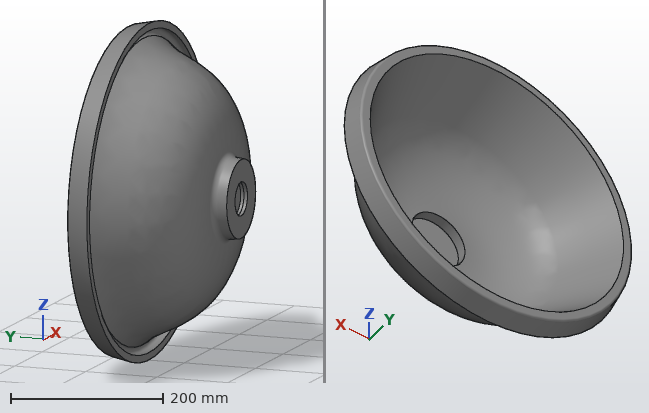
import cadquery as cq
import math

depth = 160.0
wall = 10.0

rim_radius = 225.5
rim_back_radius = 220.0
rim_front_y = 129.8
rim_edge_fillet = 3.5
rim_arc_inset = rim_edge_fillet * (1 - math.sqrt(0.5))
groove_outer_radius = rim_radius - wall
groove_spring_y = 136.0
groove_crown = (210.0, 141.5)
groove_inner = (205.0, 137.5)

bowl_outer = [(196.0, 126.0), (180.2, 94.5), (163.0, 66.2), (136.0, 41.0), (98.2, 25.0)]
bowl_foot = (62.5, 20.0)
mouth_radius = 205.0
bowl_inner = [(189.2, 131.5), (171.5, 100.0), (155.0, 72.5), (131.0, 50.0), (95.5, 34.2)]

boss_radius = 54.0
boss_end_radius = 52.5
boss_fillet_end_y = 11.5
boss_fillet_middle = (56.5, 17.0)
well_radius = boss_end_radius - wall
well_top_y = bowl_foot[1] + wall
outlet_radius = 22.5
floor_thickness = 5.0

insert_thickness = 10.0
insert_recess = 4.5


def revolve_about_y(profile):
    return profile.close().revolve(360, (0, 0, 0), (0, 1, 0))


def disc(radius, start_y, thickness):
    """Cylinder on the Y axis, running toward +Y from start_y."""
    plane = cq.Plane(origin=(0, start_y, 0), xDir=(1, 0, 0), normal=(0, 1, 0))
    return cq.Workplane(plane).circle(radius).extrude(thickness)


def make_basin():
    outside = (
        cq.Workplane("XY")
        .moveTo(outlet_radius, 0)
        .lineTo(boss_end_radius, 0)
        .lineTo(boss_radius, boss_fillet_end_y)
        .threePointArc(boss_fillet_middle, bowl_foot)
        .spline(bowl_outer[::-1] + [groove_inner], includeCurrent=True)
        .threePointArc(groove_crown, (groove_outer_radius, groove_spring_y))
        .lineTo(groove_outer_radius, rim_front_y)
        .lineTo(rim_radius, rim_front_y)
        .lineTo(rim_back_radius, depth - rim_edge_fillet)
        .threePointArc(
            (rim_back_radius - rim_arc_inset, depth - rim_arc_inset),
            (rim_back_radius - rim_edge_fillet, depth),
        )
    )
    profile = (
        outside.lineTo(mouth_radius, depth)
        .spline(bowl_inner + [(well_radius, well_top_y)], includeCurrent=True)
        .lineTo(well_radius, floor_thickness)
        .lineTo(outlet_radius, floor_thickness)
    )
    return revolve_about_y(profile)


def make_drain_insert():
    body = disc(well_radius, floor_thickness, insert_thickness)
    recess = disc(outlet_radius, floor_thickness, insert_recess)
    return body.cut(recess)


basin = make_basin()
drain_insert = make_drain_insert()
result = cq.Compound.makeCompound([basin.val(), drain_insert.val()])